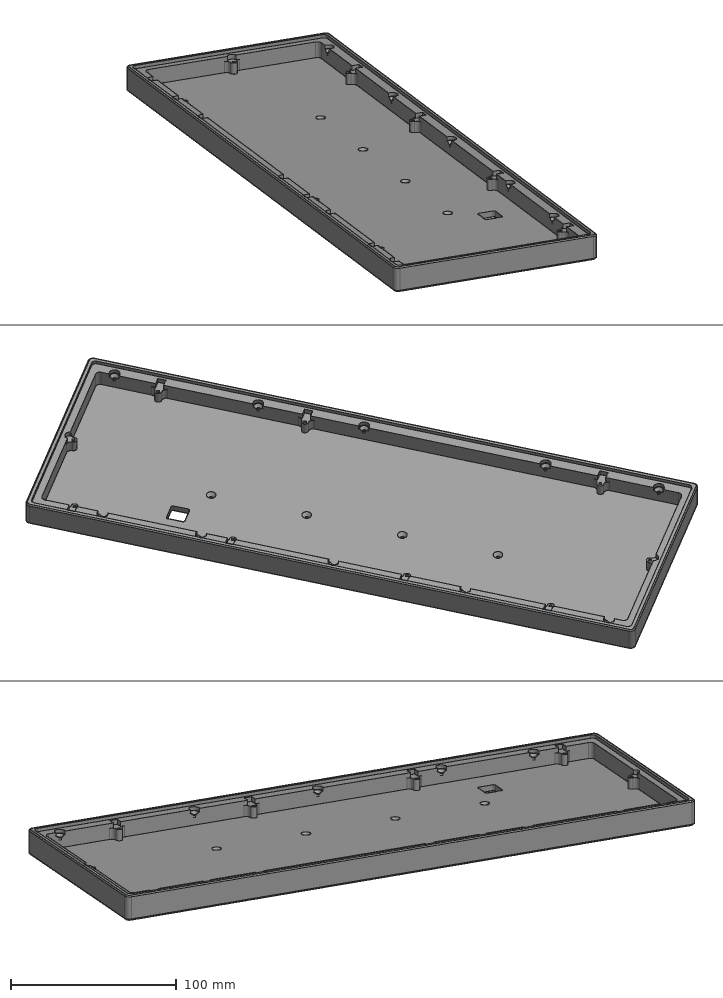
import cadquery as cq
import math

length = 383.5
width = 135.0
height = 16.0
corner_radius = 3.0
bottom_chamfer = 1.0
top_chamfer = 0.8

lip_wall = 2.8
lip_depth = 2.1
floor_thickness = 4.0
cavity_length = 368.8
cavity_width = 116.5
inner_corner_radius = 2.5
ledge_z = height - lip_depth

window_size = 11.5
window_x = 104.5
window_y = 36.5
window_corner_radius = 1.0

hole_diameter = 1.75
sink_diameter = 5.8
floor_hole_pitch = 60.0
floor_hole_count = 4
floor_hole_y = 15.0

seat_diameter = 6.5
seat_depth = 2.3
seat_setback = 1.0
seat_sink_diameter = 5.5
seat_hole_depth = 3.0
back_seat_x = [-173.5, -83.0, 0, 83.0, 145.3]
front_seat_x = [-169.0, -97.8, 16.5, 83.0, 173.5]

post_reach = 5.0
post_tip_radius = 2.1
post_root_radius = post_reach - post_tip_radius
post_hole_diameter = 1.75
post_hole_depth = 4.0
post_overlap = 0.8
post_drop = 3.0
post_top_z = ledge_z - post_drop
notch_width = 5.0
notch_setback = 4.5
end_notch_diameter = 5.8
end_notch_inset = 0.58
back_post_x = [-135.7, -45.2, 64.5, 164.0]
front_post_x = [-133.5, 52.5, 145.0]


def rounded_block(size_x, size_y, bottom_z, top_z, radius):
    block = cq.Workplane("XY", origin=(0, 0, bottom_z)).rect(size_x, size_y).extrude(top_z - bottom_z)
    return block.edges("|Z").fillet(radius)


def make_tray():
    body = rounded_block(length, width, 0, height, corner_radius)
    body = body.faces("<Z").edges().chamfer(bottom_chamfer)
    body = body.faces(">Z").edges().chamfer(top_chamfer)
    lip = rounded_block(length - 2 * lip_wall, width - 2 * lip_wall, ledge_z, height, inner_corner_radius)
    cavity = rounded_block(cavity_length, cavity_width, floor_thickness, height, inner_corner_radius)
    return body.cut(lip).cut(cavity)


def countersunk_cutter(top_z, top_diameter, depth):
    """A 90 degree cone narrowing from top_diameter to a straight hole that ends at the given depth."""
    top_radius = top_diameter / 2
    hole_radius = hole_diameter / 2
    profile = (
        cq.Workplane("XZ")
        .moveTo(0, top_z)
        .lineTo(top_radius, top_z)
        .lineTo(hole_radius, top_z - (top_radius - hole_radius))
        .lineTo(hole_radius, top_z - depth)
        .lineTo(0, top_z - depth)
        .close()
    )
    return profile.revolve(360, (0, 0, 0), (0, 1, 0))



def make_seat_cutter():
    seat_z = ledge_z - seat_depth
    bore = cq.Workplane("XY", origin=(0, 0, seat_z)).circle(seat_diameter / 2).extrude(height - seat_z)
    sink = countersunk_cutter(seat_z, seat_sink_diameter, seat_hole_depth)
    return bore.union(sink).translate((0, seat_setback, 0))


def make_post():
    tip = post_tip_radius
    root = post_root_radius
    bend = root * (1 - math.sqrt(0.5))
    outline = (
        cq.Workplane("XY", origin=(0, 0, floor_thickness))
        .moveTo(-tip - root, post_overlap)
        .lineTo(-tip - root, 0)
        .threePointArc((-tip - bend, -bend), (-tip, -root))
        .threePointArc((0, -root - tip), (tip, -root))
        .threePointArc((tip + bend, -bend), (tip + root, 0))
        .lineTo(tip + root, post_overlap)
        .close()
    )
    column = outline.extrude(post_top_z - floor_thickness)
    hole = cq.Workplane("XY", origin=(0, -root, post_top_z - post_hole_depth))
    return column.cut(hole.circle(post_hole_diameter / 2).extrude(post_hole_depth))


def make_notch_cutter():
    notch = cq.Workplane("XY", origin=(0, 0, post_top_z))
    return notch.rect(notch_width, 2 * notch_setback).extrude(height - post_top_z)


def make_end_notch_cutter():
    notch = cq.Workplane("XY", origin=(0, -end_notch_inset, post_top_z))
    return notch.circle(end_notch_diameter / 2).extrude(height - post_top_z)


def on_back_wall(feature, x):
    return feature.translate((x, cavity_width / 2, 0))


def on_front_wall(feature, x):
    return on_back_wall(feature, -x).rotate((0, 0, 0), (0, 0, 1), 180)


def on_end_walls(feature):
    against_wall = feature.translate((0, cavity_length / 2, 0))
    return [against_wall.rotate((0, 0, 0), (0, 0, 1), turn) for turn in (90, -90)]


def along_long_walls(feature, back_x, front_x):
    return [on_back_wall(feature, x) for x in back_x] + [on_front_wall(feature, x) for x in front_x]


result = make_tray()

notch_cutters = along_long_walls(make_notch_cutter(), back_post_x, front_post_x)
notch_cutters += on_end_walls(make_end_notch_cutter())
for cutter in notch_cutters:
    result = result.cut(cutter)

post = make_post()
for placed_post in along_long_walls(post, back_post_x, front_post_x) + on_end_walls(post):
    result = result.union(placed_post)

for cutter in along_long_walls(make_seat_cutter(), back_seat_x, front_seat_x):
    result = result.cut(cutter)

floor_hole = countersunk_cutter(floor_thickness, sink_diameter, floor_thickness)
for index in range(floor_hole_count):
    hole_x = (index - (floor_hole_count - 1) / 2) * floor_hole_pitch
    result = result.cut(floor_hole.translate((hole_x, floor_hole_y, 0)))

window = rounded_block(window_size, window_size, 0, floor_thickness, window_corner_radius)
result = result.cut(window.translate((window_x, window_y, 0)))